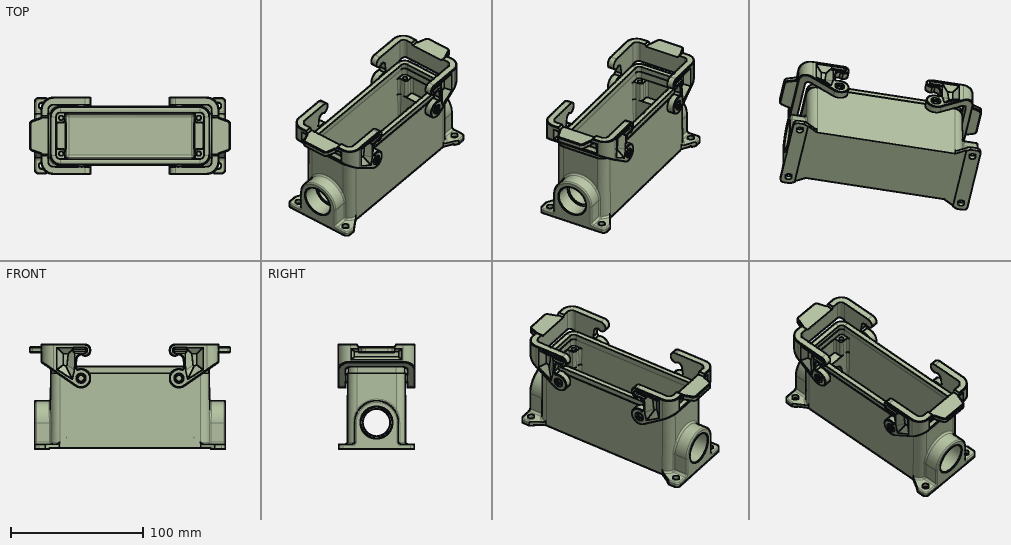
import cadquery as cq
import math

BASE_Z = 0.9
LIP_Z = 57.5
RIM_Z = 62.1
CROWN = 0.5
BODY_HALF_X = 60.3
BODY_HALF_Y = 22.1
DRAFT_INSET = 0.3
LIP_STEP = 0.3
BODY_CORNER_R = 7.3
LIP_CORNER_R = 7.0
OPENING_HALF_X = 55.9
OPENING_HALF_Y = 17.5
OPENING_CORNER_R = 3.0
FLOOR_Z = 4.0
FLOOR_HALF_Y = 16.2
FLOOR_FILLET = 1.8

SHELF_Z = 36.4
SHELF_X = 49.2
POST_TOP_Z = 51.5
POST_INNER_Y = 10.3
POST_CORNER_R = 1.8
SCREW_X = 52.0
SCREW_Y = 13.5
SCREW_DIAMETER = 3.5
SCREW_DEPTH = 12.1

ENTRY_X = 72.0
ENTRY_Z = 20.1
ENTRY_R = 16.5
ENTRY_EDGE_FILLET = 1.0
ENTRY_ROOT_FILLET = 1.4
ENTRY_BORE_DIAMETER = 23.6
ENTRY_BORE_CHAMFER = 0.5
ENTRY_WALL_DIAMETER = 20.5
ENTRY_BORE_DEPTH = 12.9
FOOT_HALF_Y = 28.6
FOOT_TOP_Z = 4.0
FOOT_CORNER_R = 3.0
FOOT_FLAT_X = 64.0
FOOT_PAD_X = 60.9
FOOT_END_X = 51.8
FOOT_END_HALF_Y = 21.2
FOOT_ROOT_FILLET = 1.7
FOOT_HOLE_X = 66.4
FOOT_HOLE_Y = 22.5
FOOT_HOLE_DIAMETER = 5.0

LEVER_TOP_Z = 79.2
LEVER_X = 67.0
LEVER_HALF_Y = 29.01
LEVER_ARM = 5.6
LEVER_END_WALL = 5.2
LEVER_CORNER_R = 9.1
LEVER_INNER_R = 4.0
LEVER_END_Z = 65.8
LEVER_EDGE = 0.5
PIVOT_X = 37.0
PIVOT_Z = 53.6
EYE_R = 7.1
HOOK_R = 4.47
HOOK_X = 34.2
NOTCH_HALF_Y = 13.8
NOTCH_TOP_HALF_Y = 15.0
NOTCH_Z = 77.4
PIVOT_R = 3.6
PIVOT_TIP_R = 2.4
PIVOT_HOLE_DEPTH = 2.3
PIVOT_BEVEL = 0.8

TAB_X = 75.8
TAB_TOP_Z = 77.4
TAB_BOTTOM_Z = 73.0
TAB_TIP_HALF_Y = 10.8
TAB_CORNER_R = 3.0
TAB_EDGE = 0.6
RECESS_HALF_Y = 19.1
RECESS_BOTTOM_Z = 67.4
RECESS_TOP_Z = 76.0
RECESS_DEPTH = 2.4

ARM_POCKET_RIM = [(-55.1, 76.8), (-41.7, 76.8), (-42.0, 59.8), (-43.6, 52.9), (-55.1, 60.1)]
ARM_POCKET_FLOOR = [(-50.6, 72.3), (-46.7, 72.3), (-47.5, 63.6), (-48.5, 62.9), (-50.6, 63.6)]
ARM_POCKET_DEPTH = 3.8
HOOK_SLOT_LENGTH = 12.1
HOOK_SLOT_WIDTH = 4.2
HOOK_SLOT_DEPTH = 1.2


def block(x_range, y_range, z_range):
    """Box spanning the given coordinate ranges."""
    spans = (x_range, y_range, z_range)
    size = [high - low for low, high in spans]
    return cq.Workplane().box(*size, centered=False).translate([low for low, high in spans])


def rounded_block(half_x, half_y, radius, z, height, taper=0):
    """Rounded rectangle about the Z axis, extruded from z by height."""
    outline = cq.Sketch().rect(2 * half_x, 2 * half_y).vertices().fillet(radius)
    return cq.Workplane().workplane(offset=z).placeSketch(outline).extrude(height, taper=taper)


def both_sides(shape):
    """Shape together with its mirror image across the XZ plane."""
    return shape.union(shape.mirror("XZ"))


def both_ends(shape):
    """Shape together with its mirror image across the YZ plane."""
    return shape.union(shape.mirror("YZ"))


def make_half_body():
    """Drafted block of the -X half of the housing."""
    draft = math.degrees(math.atan(DRAFT_INSET / (LIP_Z - BASE_Z)))
    body = rounded_block(BODY_HALF_X, BODY_HALF_Y, BODY_CORNER_R, BASE_Z, LIP_Z - BASE_Z, draft)
    return body.intersect(block((-BODY_HALF_X, 0), (-BODY_HALF_Y, BODY_HALF_Y), (BASE_Z, LIP_Z)))


def make_lip():
    """Straight wall above the drafted body, closed by a crowned rim."""
    inset = DRAFT_INSET + LIP_STEP
    half_x = BODY_HALF_X - inset
    half_y = BODY_HALF_Y - inset
    crown_y = (half_y + OPENING_HALF_Y) / 2
    profile = (
        cq.Workplane("YZ")
        .moveTo(half_y, LIP_Z)
        .lineTo(half_y, RIM_Z)
        .threePointArc((crown_y, RIM_Z + CROWN), (OPENING_HALF_Y, RIM_Z))
        .lineTo(OPENING_HALF_Y, LIP_Z)
        .close()
    )
    path = (
        cq.Workplane(origin=(0, 0, LIP_Z))
        .rect(2 * half_x, 2 * half_y)
        .extrude(CROWN)
        .edges("|Z")
        .fillet(LIP_CORNER_R)
        .faces("<Z")
        .wires()
    )
    return profile.sweep(path)


def make_cavity():
    """Drafted inside space: full opening, then between the posts, then between the shelves."""
    slope = (OPENING_HALF_Y - FLOOR_HALF_Y) / (LIP_Z - FLOOR_Z)
    taper = math.degrees(math.atan(slope))

    def half_width(z):
        return OPENING_HALF_Y - slope * (LIP_Z - z)

    mouth = rounded_block(OPENING_HALF_X, OPENING_HALF_Y, OPENING_CORNER_R, LIP_Z, POST_TOP_Z - LIP_Z, taper)
    post_level = (
        cq.Sketch()
        .rect(2 * SHELF_X, 2 * half_width(POST_TOP_Z))
        .rect(2 * OPENING_HALF_X, 2 * POST_INNER_Y)
        .clean()
        .vertices()
        .fillet(POST_CORNER_R)
    )
    between_posts = (
        cq.Workplane(origin=(0, 0, POST_TOP_Z)).placeSketch(post_level).extrude(SHELF_Z - POST_TOP_Z, taper=taper)
    )
    well = rounded_block(
        SHELF_X - slope * (POST_TOP_Z - SHELF_Z), half_width(SHELF_Z), POST_CORNER_R, SHELF_Z, FLOOR_Z - SHELF_Z, taper
    )
    well = well.faces("<Z").edges().fillet(FLOOR_FILLET)
    return mouth.union(between_posts).union(well)


def make_post_holes():
    return (
        cq.Workplane(origin=(0, 0, POST_TOP_Z))
        .rect(2 * SCREW_X, 2 * SCREW_Y, forConstruction=True)
        .vertices()
        .circle(SCREW_DIAMETER / 2)
        .extrude(-SCREW_DEPTH)
    )


def make_feet():
    """Flange plate at the -X end: a square outer end that tapers back to the body sides."""
    plan = [
        (-ENTRY_X, -FOOT_HALF_Y),
        (-FOOT_FLAT_X, -FOOT_HALF_Y),
        (-FOOT_END_X, -FOOT_END_HALF_Y),
        (-FOOT_END_X, FOOT_END_HALF_Y),
        (-FOOT_FLAT_X, FOOT_HALF_Y),
        (-ENTRY_X, FOOT_HALF_Y),
    ]
    plate = cq.Workplane().polyline(plan).close().extrude(FOOT_TOP_Z)
    return plate.edges("|Z and <X").fillet(FOOT_CORNER_R)


def make_entry_boss():
    """Round-topped boss that carries the cable entry at the -X end."""
    return (
        cq.Workplane("YZ", origin=(-ENTRY_X, 0, 0))
        .moveTo(-ENTRY_R, 0)
        .lineTo(-ENTRY_R, ENTRY_Z)
        .threePointArc((0, ENTRY_Z + ENTRY_R), (ENTRY_R, ENTRY_Z))
        .lineTo(ENTRY_R, 0)
        .close()
        .extrude(ENTRY_X - FOOT_END_X)
    )


def add_entry_end(body):
    """Join the feet and boss of the -X end to the body and blend their edges."""
    end = make_feet().union(make_entry_boss())
    foot_joints = cq.selectors.BoxSelector(
        (-ENTRY_X, -ENTRY_R - 1.5, FOOT_TOP_Z - 1.5), (-FOOT_END_X, ENTRY_R + 1.5, FOOT_TOP_Z + 1.5)
    )
    end = end.edges("|X").edges(foot_joints).fillet(FOOT_ROOT_FILLET)
    end = end.faces("<X").edges("not (<Z or |Z)").edges().fillet(ENTRY_EDGE_FILLET)
    clearance = block((-FOOT_PAD_X, 0), (-FOOT_HALF_Y, FOOT_HALF_Y), (0, BASE_Z))
    joined = body.union(end.cut(clearance))
    root = cq.selectors.BoxSelector(
        (-BODY_HALF_X - 1.5, -BODY_HALF_Y - 1.5, FOOT_TOP_Z - 1.5),
        (-BODY_HALF_X + BODY_CORNER_R - 1.5, BODY_HALF_Y + 1.5, ENTRY_Z + ENTRY_R + 1.5),
        boundingbox=True,
    )
    return joined.edges(root).fillet(ENTRY_ROOT_FILLET)


def make_end_holes():
    """Cable bore and the screw holes of the two feet at the -X end."""
    face = cq.Workplane("YZ", origin=(-ENTRY_X, 0, ENTRY_Z))
    bore = face.circle(ENTRY_BORE_DIAMETER / 2).extrude(ENTRY_BORE_DEPTH)
    mouth = face.circle(ENTRY_BORE_DIAMETER / 2 + ENTRY_BORE_CHAMFER).extrude(ENTRY_BORE_CHAMFER, taper=45)
    wall_hole = face.circle(ENTRY_WALL_DIAMETER / 2).extrude(ENTRY_X - SHELF_X + 1.5)
    foot_holes = (
        cq.Workplane()
        .pushPoints([(-FOOT_HOLE_X, -FOOT_HOLE_Y), (-FOOT_HOLE_X, FOOT_HOLE_Y)])
        .circle(FOOT_HOLE_DIAMETER / 2)
        .extrude(FOOT_TOP_Z)
    )
    return bore.union(mouth).union(wall_hole).union(foot_holes)


def make_lever_profile():
    """Side outline of the lever: end wall, hook, throat and pivot eye."""
    reach = math.hypot(LEVER_X - PIVOT_X, LEVER_END_Z - PIVOT_Z)
    heading = math.atan2(LEVER_END_Z - PIVOT_Z, PIVOT_X - LEVER_X)
    tangent = heading + math.acos(EYE_R / reach)

    def on_eye(angle):
        return (-PIVOT_X + EYE_R * math.cos(angle), PIVOT_Z + EYE_R * math.sin(angle))

    hook_z = LEVER_TOP_Z - HOOK_R
    return (
        cq.Workplane("XZ", origin=(0, LEVER_HALF_Y, 0))
        .moveTo(-LEVER_X, LEVER_TOP_Z)
        .lineTo(-HOOK_X, LEVER_TOP_Z)
        .threePointArc((-HOOK_X + HOOK_R, hook_z), (-HOOK_X, hook_z - HOOK_R))
        .lineTo(-36.4, 71.4)
        .threePointArc((-39.2, 70.3), (-40.1, 68.2))
        .lineTo(-41.0, 62.1)
        .lineTo(*on_eye(math.radians(112)))
        .threePointArc(on_eye(0), on_eye(tangent))
        .lineTo(-LEVER_X, LEVER_END_Z)
        .close()
        .extrude(2 * LEVER_HALF_Y)
    )


def make_lever_frame():
    open_x = -PIVOT_X + 2 * EYE_R
    outer = block((-LEVER_X, open_x), (-LEVER_HALF_Y, LEVER_HALF_Y), (0, LEVER_TOP_Z))
    outer = outer.edges("|Z and <X").fillet(LEVER_CORNER_R)
    inner_y = LEVER_HALF_Y - LEVER_ARM
    inner = block((-LEVER_X + LEVER_END_WALL, open_x), (-inner_y, inner_y), (0, LEVER_TOP_Z))
    inner = inner.edges("|Z and <X").fillet(LEVER_INNER_R)
    frame = outer.cut(inner).intersect(make_lever_profile())
    frame = frame.faces("<Y or >Y").edges().chamfer(LEVER_EDGE)
    notch = (
        cq.Workplane("YZ", origin=(-LEVER_X, 0, 0))
        .polyline([
            (-NOTCH_HALF_Y, NOTCH_Z),
            (NOTCH_HALF_Y, NOTCH_Z),
            (NOTCH_TOP_HALF_Y, LEVER_TOP_Z),
            (-NOTCH_TOP_HALF_Y, LEVER_TOP_Z),
        ])
        .close()
        .extrude(LEVER_END_WALL)
    )
    return frame.cut(notch)


def make_recess():
    return (
        cq.Workplane("YZ", origin=(-LEVER_X, 0, (RECESS_BOTTOM_Z + RECESS_TOP_Z) / 2))
        .rect(2 * RECESS_HALF_Y, RECESS_TOP_Z - RECESS_BOTTOM_Z)
        .extrude(RECESS_DEPTH, taper=45)
    )


def make_tab():
    root_x = LEVER_X - LEVER_END_WALL
    plan = [
        (-root_x, -NOTCH_HALF_Y),
        (-LEVER_X, -NOTCH_HALF_Y),
        (-TAB_X, -TAB_TIP_HALF_Y),
        (-TAB_X, TAB_TIP_HALF_Y),
        (-LEVER_X, NOTCH_HALF_Y),
        (-root_x, NOTCH_HALF_Y),
    ]
    tab = (
        cq.Workplane(origin=(0, 0, TAB_BOTTOM_Z))
        .polyline(plan)
        .close()
        .extrude(TAB_TOP_Z - TAB_BOTTOM_Z)
    )
    tab = tab.edges("|Z and <X").fillet(TAB_CORNER_R)
    return tab.faces("<Z or >Z").edges("not >X").chamfer(TAB_EDGE)


def make_arm_pocket():
    """Tapered pocket and shallow hook slot in the -Y arm."""
    face = cq.Workplane("XZ", origin=(0, -LEVER_HALF_Y, 0))
    pocket = (
        face.polyline(ARM_POCKET_RIM)
        .close()
        .workplane(offset=-ARM_POCKET_DEPTH)
        .polyline(ARM_POCKET_FLOOR)
        .close()
        .loft(ruled=True)
    )
    slot_x = -HOOK_X + HOOK_SLOT_WIDTH / 2 - HOOK_SLOT_LENGTH / 2
    slot = (
        face.center(slot_x, LEVER_TOP_Z - HOOK_R)
        .slot2D(HOOK_SLOT_LENGTH, HOOK_SLOT_WIDTH)
        .extrude(-HOOK_SLOT_DEPTH, taper=45)
    )
    return pocket.union(slot)


def make_pivot():
    """Conical stub joining the housing to the -Y arm."""
    inner_y = LEVER_HALF_Y - LEVER_ARM
    cone_height = inner_y - BODY_HALF_Y + DRAFT_INSET
    stub = (
        cq.Workplane("XZ", origin=(-PIVOT_X, -inner_y + cone_height, PIVOT_Z))
        .circle(PIVOT_R)
        .workplane(offset=cone_height)
        .circle(PIVOT_TIP_R)
        .loft()
    )
    root = (
        cq.Workplane("XZ", origin=(-PIVOT_X, -OPENING_HALF_Y - 1.5, PIVOT_Z))
        .circle(PIVOT_TIP_R)
        .extrude(LEVER_HALF_Y - LEVER_ARM / 2 - OPENING_HALF_Y - 1.5)
    )
    return stub.union(root)


def make_pivot_hole():
    face = cq.Workplane("XZ", origin=(-PIVOT_X, -LEVER_HALF_Y, PIVOT_Z))
    hole = face.circle(PIVOT_TIP_R).extrude(-PIVOT_HOLE_DEPTH)
    bevel = (
        face.circle(PIVOT_R)
        .workplane(offset=-PIVOT_BEVEL)
        .circle(PIVOT_TIP_R)
        .loft()
    )
    return hole.union(bevel)


def make_lever():
    side_cuts = both_sides(make_arm_pocket().union(make_pivot_hole()))
    frame = make_lever_frame().cut(make_recess()).cut(side_cuts)
    return frame.union(make_tab()).union(both_sides(make_pivot()))


shell = both_ends(add_entry_end(make_half_body()))
shell = shell.union(make_lip()).cut(make_cavity()).cut(make_post_holes()).cut(both_ends(make_end_holes()))
result = shell.union(both_ends(make_lever()))